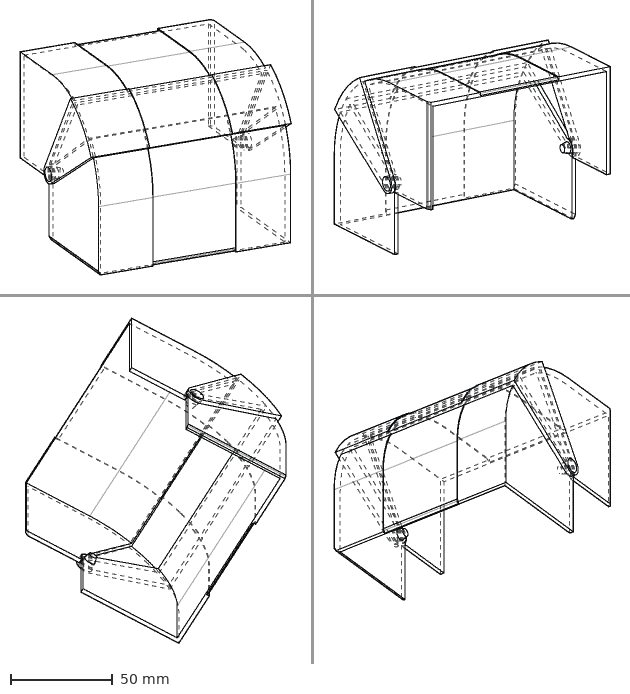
import cadquery as cq
import math


bend_radius = 52.0
arm_length = 36.1
wall = 2.2
hood_half_width = 54.8
arm_half_width = hood_half_width - wall
inner_half_width = arm_half_width - wall
hood_radius = bend_radius + wall

hood_boss_radius = 4.9
arm_boss_radius = 4.5
boss_cut_radius = hood_boss_radius
wall_drop = 3.8
wall_gap = 0.5

pin_head_radius = 3.6
pin_shank_radius = 3.0
pin_tip_end_radius = 2.1
pin_length_inside = 3.1

hood_edge_angle = 57.4
hooded_arm_edge_angle = 56.8
hooded_arm_edge_offset = 4.0
plain_arm_edge_angle = 55.8
plain_arm_edge_offset = 3.6

band_half_width = 22.7
band_depth = 0.4

lead_length = 2.1
lead_break = 1.2
lead_break_depth = 0.4
lead_end_depth = 1.1


def polar(radius, angle):
    """Point in the XZ plane at an angle above +X."""
    return (radius * math.cos(math.radians(angle)), radius * math.sin(math.radians(angle)))


def crossing_angle(edge_angle, offset, radius):
    """Angle where a straight edge crosses a circle; a positive offset puts it left of the hinge axis."""
    return edge_angle + math.degrees(math.asin(offset / radius))


def extrude_both(outline, half_width):
    """Closed XZ outline made into a solid centred on Y = 0."""
    return outline.close().extrude(half_width, both=True)


def hinge_cylinder(radius, half_width):
    """Cylinder on the hinge axis, centred on Y = 0."""
    return cq.Workplane("XZ").circle(radius).extrude(half_width, both=True)


def bend_block(radius, half_width):
    """Solid bounded by the flat top of an arm and the round bend, open-ended below and at -X."""
    reach = 2 * arm_length
    block = cq.Workplane("XZ").moveTo(-reach, -reach).lineTo(-reach, radius).lineTo(0, radius)
    block = block.threePointArc(polar(radius, 45), (radius, 0)).lineTo(radius, -reach)
    return extrude_both(block, half_width)


def cut_band(body, radius):
    """Lower the middle of the outer surface by the band depth."""
    skin = bend_block(radius + wall, band_half_width)
    skin = skin.cut(bend_block(radius - band_depth, band_half_width))
    return body.cut(skin)


def lead_in_cutter(plane, surface, half_length):
    """Prism that tapers a surface toward the open end at X = -arm_length."""
    end = -arm_length
    outline = (
        cq.Workplane(plane)
        .moveTo(end, surface - lead_end_depth)
        .lineTo(end + lead_break, surface - lead_break_depth)
        .lineTo(end + lead_length, surface)
        .lineTo(end + lead_length, surface + wall)
        .lineTo(end, surface + wall)
    )
    return extrude_both(outline, half_length)


def start_arm_outline(end_angle):
    """Open end, flat top and bend of an arm along -X, up to the angle where the bend stops."""
    mid_angle = (90 + end_angle) / 2
    return (
        cq.Workplane("XZ")
        .moveTo(-arm_length, -wall_drop)
        .lineTo(-arm_length, bend_radius)
        .lineTo(0, bend_radius)
        .threePointArc(polar(bend_radius, mid_angle), polar(bend_radius, end_angle))
    )


def finish_arm(outline):
    """U-shaped arm with its band and lead-ins, from an arm outline."""
    arm = extrude_both(outline, arm_half_width)
    arm = arm.cut(bend_block(bend_radius - wall, inner_half_width))
    arm = cut_band(arm, bend_radius)
    arm = arm.cut(lead_in_cutter("XY", arm_half_width, 2 * bend_radius))
    return arm.cut(lead_in_cutter("XZ", bend_radius - band_depth, band_half_width))


def drill_hinge(body, radius):
    """Round hole along the hinge axis through both side walls."""
    return body.cut(hinge_cylinder(radius, hood_half_width))


def make_hood():
    """Raised sector over the bend: two cheeks with hinge bosses, joined by a curved roof."""
    roof_start = crossing_angle(hood_edge_angle, hood_boss_radius, hood_radius)
    boss_start = hood_edge_angle + 90
    outline = (
        cq.Workplane("XZ")
        .moveTo(*polar(hood_boss_radius, boss_start))
        .lineTo(*polar(hood_radius, roof_start))
        .threePointArc(polar(hood_radius, 45), polar(hood_radius, 90 - roof_start))
        .lineTo(*polar(hood_boss_radius, 90 - boss_start))
        .threePointArc(polar(hood_boss_radius, 225), polar(hood_boss_radius, boss_start))
    )
    hood = extrude_both(outline, hood_half_width)
    hood = hood.cut(hinge_cylinder(bend_radius, arm_half_width))
    return cut_band(drill_hinge(hood, pin_head_radius), hood_radius)


def make_hooded_cover():
    """Arm along -X whose walls stop short of the other cover's bosses, with the hood on it."""
    bend_end = crossing_angle(hooded_arm_edge_angle, hooded_arm_edge_offset, bend_radius)
    cut_start = crossing_angle(hooded_arm_edge_angle, hooded_arm_edge_offset, boss_cut_radius)
    foot_x = -(wall_drop + wall_gap)
    cut_end_z = -math.sqrt(boss_cut_radius ** 2 - foot_x ** 2)
    outline = (
        start_arm_outline(bend_end)
        .lineTo(*polar(boss_cut_radius, cut_start))
        .threePointArc(polar(boss_cut_radius, 180), (foot_x, cut_end_z))
        .lineTo(foot_x, -wall_drop)
    )
    return finish_arm(outline).union(make_hood())


def make_plain_cover():
    """Arm with bosses on its walls, turned half a turn about the bend's diagonal to point along -Z."""
    bend_end = crossing_angle(plain_arm_edge_angle, -plain_arm_edge_offset, bend_radius)
    boss_start = crossing_angle(plain_arm_edge_angle, -plain_arm_edge_offset, arm_boss_radius)
    boss_end_x = -math.sqrt(arm_boss_radius ** 2 - wall_drop ** 2)
    outline = (
        start_arm_outline(bend_end)
        .lineTo(*polar(arm_boss_radius, boss_start))
        .threePointArc(polar(arm_boss_radius, -45), (boss_end_x, -wall_drop))
    )
    arm = drill_hinge(finish_arm(outline), pin_shank_radius)
    return arm.rotate((0, 0, 0), (1, 0, 1), 180)


def make_pin(side):
    """Headed pin flush with a cheek, its tapered tip inside the arm; side is -1 or 1 along Y."""
    head_y = side * hood_half_width
    shoulder_y = side * arm_half_width
    tip_base_y = side * inner_half_width
    tip_y = side * (inner_half_width - pin_length_inside)
    return (
        cq.Workplane("XY")
        .moveTo(0, head_y)
        .lineTo(pin_head_radius, head_y)
        .lineTo(pin_head_radius, shoulder_y)
        .lineTo(pin_shank_radius, shoulder_y)
        .lineTo(pin_shank_radius, tip_base_y)
        .lineTo(pin_tip_end_radius, tip_y)
        .lineTo(0, tip_y)
        .close()
        .revolve(360, (0, 0, 0), (0, 1, 0))
    )


hooded_cover = make_hooded_cover()
plain_cover = make_plain_cover()
pins = [make_pin(side) for side in (-1, 1)]

result = cq.Compound.makeCompound([hooded_cover.val(), plain_cover.val(), *[pin.val() for pin in pins]])